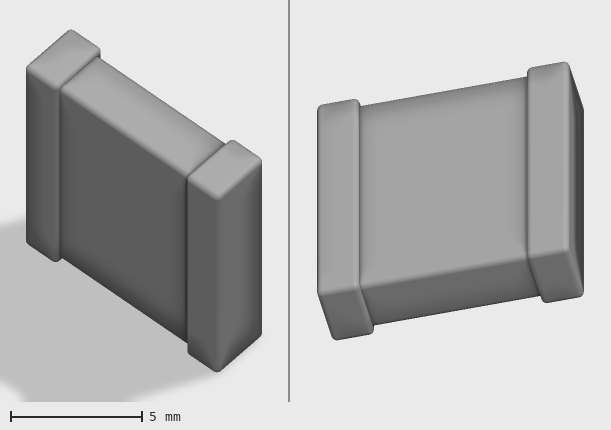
import cadquery as cq

length_x = 9.9
depth_y = 2.7
height_z = 10.6

cap_length = 1.66
cap_wall = 0.22
edge_radius = cap_wall

core_length = length_x - 2 * cap_wall
core_depth = depth_y - 2 * cap_wall
core_height = height_z - 2 * cap_wall
cap_center_x = (length_x - cap_length) / 2


def make_core():
    """Rectangular block with its four long edges rounded."""
    block = cq.Workplane("XY").box(core_length, core_depth, core_height)
    return block.edges("|X").fillet(edge_radius).solids()


def make_cap(side, core):
    """Rounded cap on the -X (side = -1) or +X (side = 1) end, recessed to fit the core."""
    block = cq.Workplane("XY").box(cap_length, depth_y, height_z)
    rounded = block.edges().fillet(edge_radius)
    return rounded.translate((side * cap_center_x, 0, 0)).cut(core).solids()


core = make_core()
caps = [make_cap(side, core) for side in (-1, 1)]

result = cq.Compound.makeCompound([core.val(), *[cap.val() for cap in caps]])